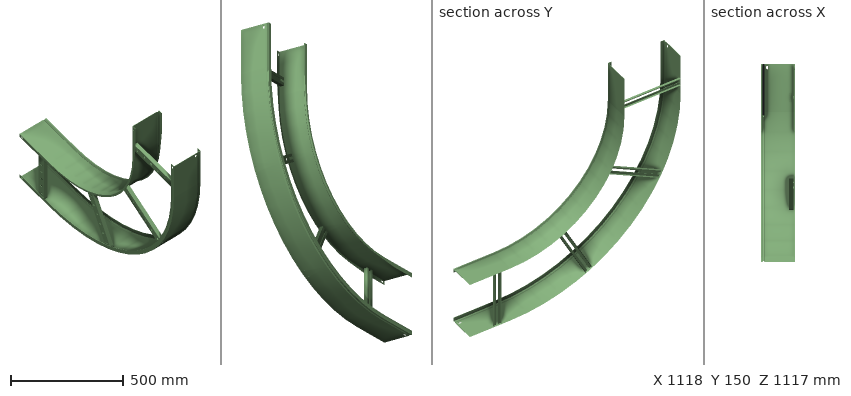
import cadquery as cq
import math


tray_height = 150.0
sheet = 1.5
inner_web_radius = 602.0
rail_spacing = 300.0
outer_web_radius = inner_web_radius + rail_spacing
foot_length = 216.0
head_length = 215.0

flange_width = 20.0
inner_bend_flange_width = 10.0
taper_start = 78.0

bead_center = tray_height - 10.0
bead_floor = 5.0
bead_mouth = 11.0
bead_depth = 3.0

end_slot_length = 15.0
end_slot_width = 9.0
end_slot_setback = 17.0
web_slot_y = 123.0

rung_width = 39.0
rung_height = 19.0
rung_floor_y = 7.0
rung_lip = 13.0
rung_setback = 150.0
bend_rung_angle = 27.6
rung_slots = 6
rung_slot_pitch = 49.0
rung_slot_length = 15.0
rung_slot_width = 8.0

mid_radius = inner_web_radius + rail_spacing / 2


def arc_point(radius, angle):
    """Point in the XZ plane, the angle running from the foot (0) to the head (90)."""
    turn = math.radians(angle)
    return (radius * math.sin(turn), -radius * math.cos(turn))


def mirrored(point):
    """The same point on the other half of the bend."""
    x, z = point
    return (-z, -x)


def web(radius, into_channel):
    """Beaded web; into_channel is +1 or -1, the radial direction in which its flanges point."""
    half_floor = bead_floor / 2
    half_mouth = bead_mouth / 2
    face = [
        (0, 0),
        (0, bead_center - half_mouth),
        (bead_depth, bead_center - half_floor),
        (bead_depth, bead_center + half_floor),
        (0, bead_center + half_mouth),
        (0, tray_height),
    ]
    back = [(depth + sheet, y) for depth, y in reversed(face)]
    section = [(radius + into_channel * depth, y) for depth, y in face + back]

    head_profile = cq.Workplane("XY").polyline(section).close()
    head = head_profile.extrude(head_length)
    bend = cq.Workplane("XY").polyline(section).close().revolve(90, (0, 0, 0), (0, 1, 0))
    foot_section = [(y, -r) for r, y in section]
    foot = cq.Workplane("YZ").polyline(foot_section).close().extrude(-foot_length)
    return foot.union(bend).union(head)


def edge_to_head(outline, radius):
    """Follow a constant radius from the foot end to the head end."""
    return (
        outline.lineTo(0, -radius)
        .threePointArc(arc_point(radius, 45), (radius, 0))
        .lineTo(radius, head_length)
    )


def edge_to_foot(outline, radius):
    """Follow a constant radius from the head end back to the foot end."""
    return (
        outline.lineTo(radius, 0)
        .threePointArc(arc_point(radius, 45), (0, -radius))
        .lineTo(-foot_length, -radius)
    )


def tapered_edge_to_foot(outline):
    """Free edge of the inner rail's flange, drawn in by lines tangent to the bend."""
    straight_radius = inner_web_radius + flange_width
    bend_radius = inner_web_radius + inner_bend_flange_width
    taper_angle = math.degrees(
        math.acos(bend_radius / math.hypot(taper_start, straight_radius))
        - math.atan2(taper_start, straight_radius)
    )
    taper_point = (-taper_start, -straight_radius)
    foot_tangent = arc_point(bend_radius, taper_angle)
    return (
        outline.lineTo(*mirrored(taper_point))
        .lineTo(*mirrored(foot_tangent))
        .threePointArc(arc_point(bend_radius, 45), foot_tangent)
        .lineTo(*taper_point)
        .lineTo(-foot_length, -straight_radius)
    )


def end_slots(flange_radius):
    """Cutters for the slots in one -Y flange, one at each end of the rail."""
    foot_slot = (
        cq.Workplane("XZ")
        .center(-foot_length + end_slot_setback, -flange_radius)
        .slot2D(end_slot_length, end_slot_width)
        .extrude(-sheet)
    )
    head_slot = (
        cq.Workplane("XZ")
        .center(flange_radius, head_length - end_slot_setback)
        .slot2D(end_slot_length, end_slot_width, 90)
        .extrude(-sheet)
    )
    return foot_slot.union(head_slot)


def web_end_slots():
    """Cutters for the slots in the outer web, one at each end of the rail."""
    foot_slot = (
        cq.Workplane("XY", origin=(0, 0, -outer_web_radius))
        .center(-foot_length + end_slot_setback, web_slot_y)
        .slot2D(end_slot_length, end_slot_width)
        .extrude(sheet)
    )
    head_slot = (
        cq.Workplane("YZ", origin=(outer_web_radius, 0, 0))
        .center(web_slot_y, head_length - end_slot_setback)
        .slot2D(end_slot_length, end_slot_width, 90)
        .extrude(-sheet)
    )
    return foot_slot.union(head_slot)


def add_flanges(rail, outline, slot_radius):
    """Join the -Y and +Y flanges to a web and cut the end slots in the -Y one."""
    flange = outline.extrude(-sheet)
    for y in (0, tray_height - sheet):
        rail = rail.union(flange.translate((0, y, 0)))
    return rail.cut(end_slots(slot_radius))


def make_inner_rail():
    tip = inner_web_radius + flange_width
    outline = cq.Workplane("XZ").moveTo(-foot_length, -inner_web_radius)
    outline = edge_to_head(outline, inner_web_radius).lineTo(tip, head_length)
    outline = tapered_edge_to_foot(outline).close()
    return add_flanges(web(inner_web_radius, 1), outline, inner_web_radius + flange_width / 2)


def make_outer_rail():
    tip = outer_web_radius - flange_width
    outline = cq.Workplane("XZ").moveTo(-foot_length, -tip)
    outline = edge_to_head(outline, tip).lineTo(outer_web_radius, head_length)
    outline = edge_to_foot(outline, outer_web_radius).close()
    slotted_web = web(outer_web_radius, -1).cut(web_end_slots())
    return add_flanges(slotted_web, outline, outer_web_radius - flange_width / 2)


def make_rung():
    """Rung along Z, centred on the XZ origin."""
    inside_height = rung_height - 2 * sheet
    mouth = rung_width - 2 * rung_lip
    rung = cq.Workplane("XY").box(rung_width, rung_height, rail_spacing)
    cavity = cq.Workplane("XY").box(rung_width - 2 * sheet, inside_height, rail_spacing)
    opening = (
        cq.Workplane("XY")
        .box(mouth, rung_height / 2, rail_spacing)
        .translate((0, rung_height / 4, 0))
    )
    slots = (
        cq.Workplane("XZ", origin=(0, -rung_height / 2, 0))
        .rarray(11, rung_slot_pitch, 1, rung_slots)
        .slot2D(rung_slot_length, rung_slot_width)
        .extrude(-sheet)
    )
    rung = rung.cut(cavity).cut(opening).cut(slots)
    return rung.translate((0, rung_floor_y + rung_height / 2, 0))


def place_rung(angle, along):
    """Put a rung radially across the tray at an angle round the bend, shifted along the tray."""
    rung = make_rung().translate((along, 0, -mid_radius))
    return rung.rotate((0, 0, 0), (0, 1, 0), -angle)


foot_rung_shift = rung_setback - foot_length
head_rung_shift = head_length - rung_setback
rungs = [
    place_rung(angle, along)
    for angle, along in (
        (0, foot_rung_shift),
        (bend_rung_angle, 0),
        (90 - bend_rung_angle, 0),
        (90, head_rung_shift),
    )
]

inner_rail = make_inner_rail()
outer_rail = make_outer_rail()
for rung in rungs:
    inner_rail = inner_rail.cut(rung)
    outer_rail = outer_rail.cut(rung)

result = cq.Compound.makeCompound([inner_rail.val(), outer_rail.val(), *[rung.val() for rung in rungs]])